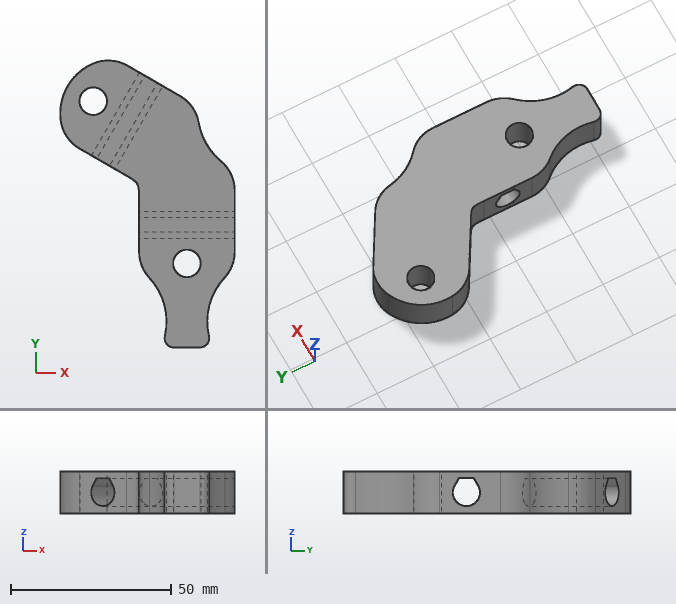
import cadquery as cq
import math

width = 54.5
thickness = 13.2

limb_width = 29.9
limb_middle = limb_width / 2
bend_angle = 60.0
inner_elbow_x = width - limb_width
inner_elbow_y = 51.4
inner_elbow_blend = 4.5

shoulder_along = 2.4
cross_hole_along = 13.0
end_corner_along = 21.4
pivot_along = 25.1

corner_radius = 12.0
waist_radius = 20.0
arm_end_radius = 17.0

tail_flat_width = 8.1
tail_corner_radius = 3.0

pivot_diameter = 8.5
cross_hole_radius = 4.2
cross_hole_flat_height = 4.5
teardrop_angle = math.radians(30)


def leg(along, across):
    """Point on the leg; across is measured from its inner side."""
    return cq.Vector(inner_elbow_x + across, inner_elbow_y - along)


bend = math.radians(bend_angle)
arm_direction = cq.Vector(-math.sin(bend), math.cos(bend))
arm_across = cq.Vector(math.cos(bend), math.sin(bend))


def arm(along, across):
    """Point on the arm; across is measured from its inner side."""
    return leg(0, 0) + arm_direction * along + arm_across * across


def toward(center, other, distance):
    """Point at a distance from center, heading toward other."""
    return center + (other - center).normalized() * distance


def meeting_point(first, first_distance, second, second_distance):
    """Point at given distances from two points, on the left going from first to second."""
    span = (second - first).Length
    forward = (second - first).normalized()
    left = cq.Vector(-forward.y, forward.x)
    ahead = (span**2 + first_distance**2 - second_distance**2) / (2 * span)
    aside = math.sqrt(first_distance**2 - ahead**2)
    return first + forward * ahead + left * aside


BLEND = "blend"


def outline():
    outer_center = limb_width - corner_radius
    waist_to_corner = waist_radius + corner_radius
    waist_to_tail = waist_radius + tail_corner_radius

    leg_inner = leg(end_corner_along, corner_radius)
    leg_outer = leg(end_corner_along, outer_center)
    leg_shoulder = leg(shoulder_along, outer_center)
    arm_shoulder = arm(shoulder_along, outer_center)
    arm_outer = arm(end_corner_along, outer_center)
    arm_inner = arm(end_corner_along, corner_radius)

    tail_middle_x = inner_elbow_x + limb_middle
    tail_inner = cq.Vector(tail_middle_x - tail_flat_width / 2, tail_corner_radius)
    tail_outer = cq.Vector(tail_middle_x + tail_flat_width / 2, tail_corner_radius)

    inner_waist = meeting_point(tail_inner, waist_to_tail, leg_inner, waist_to_corner)
    outer_waist = meeting_point(leg_outer, waist_to_corner, tail_outer, waist_to_tail)
    elbow_hollow = meeting_point(arm_shoulder, waist_to_corner, leg_shoulder, waist_to_corner)

    crown_offset = arm_end_radius - corner_radius
    crown = meeting_point(arm_outer, crown_offset, arm_inner, crown_offset)

    start = cq.Vector(tail_inner.x, 0)
    stretches = [
        (cq.Vector(tail_outer.x, 0), None),
        (toward(tail_outer, outer_waist, tail_corner_radius), tail_outer),
        (toward(leg_outer, outer_waist, corner_radius), outer_waist),
        (leg(end_corner_along, limb_width), leg_outer),
        (leg(shoulder_along, limb_width), None),
        (toward(leg_shoulder, elbow_hollow, corner_radius), leg_shoulder),
        (toward(arm_shoulder, elbow_hollow, corner_radius), elbow_hollow),
        (arm(shoulder_along, limb_width), arm_shoulder),
        (arm(end_corner_along, limb_width), None),
        (toward(crown, arm_outer, arm_end_radius), arm_outer),
        (toward(crown, arm_inner, arm_end_radius), crown),
        (arm(end_corner_along, 0), arm_inner),
        (arm(inner_elbow_blend, 0), None),
        (leg(inner_elbow_blend, 0), BLEND),
        (leg(end_corner_along, 0), None),
        (toward(leg_inner, inner_waist, corner_radius), leg_inner),
        (toward(tail_inner, inner_waist, tail_corner_radius), inner_waist),
        (start, tail_inner),
    ]

    path = cq.Workplane("XY").moveTo(start.x, start.y)
    point = start
    for end, center in stretches:
        if center is None:
            path = path.lineTo(end.x, end.y)
        elif center is BLEND:
            corner = leg(0, 0)
            path = path.bezier([point, corner, corner, end])
        else:
            bisector = (point - center) + (end - center)
            middle = toward(center, center + bisector, (point - center).Length)
            path = path.threePointArc((middle.x, middle.y), (end.x, end.y))
        point = end
    return path.close()


def teardrop_hole(entry, direction):
    """Cross hole with a flat-topped teardrop section, through the limb at mid-thickness."""
    side_x = cross_hole_radius * math.cos(teardrop_angle)
    side_y = cross_hole_radius * math.sin(teardrop_angle)
    flat_x = (cross_hole_radius - cross_hole_flat_height * math.sin(teardrop_angle)) / math.cos(teardrop_angle)
    plane = cq.Plane(
        origin=(entry.x, entry.y, thickness / 2),
        xDir=(-direction.y, direction.x, 0),
        normal=direction.toTuple(),
    )
    return (
        cq.Workplane(plane)
        .moveTo(-side_x, side_y)
        .threePointArc((0, -cross_hole_radius), (side_x, side_y))
        .lineTo(flat_x, cross_hole_flat_height)
        .lineTo(-flat_x, cross_hole_flat_height)
        .close()
        .extrude(limb_width)
    )


def pivot_hole(center):
    return cq.Workplane("XY").center(center.x, center.y).circle(pivot_diameter / 2).extrude(thickness)


result = outline().extrude(thickness)
for limb, across_direction in ((leg, cq.Vector(1, 0, 0)), (arm, arm_across)):
    result = result.cut(pivot_hole(limb(pivot_along, limb_middle)))
    result = result.cut(teardrop_hole(limb(cross_hole_along, 0), across_direction))